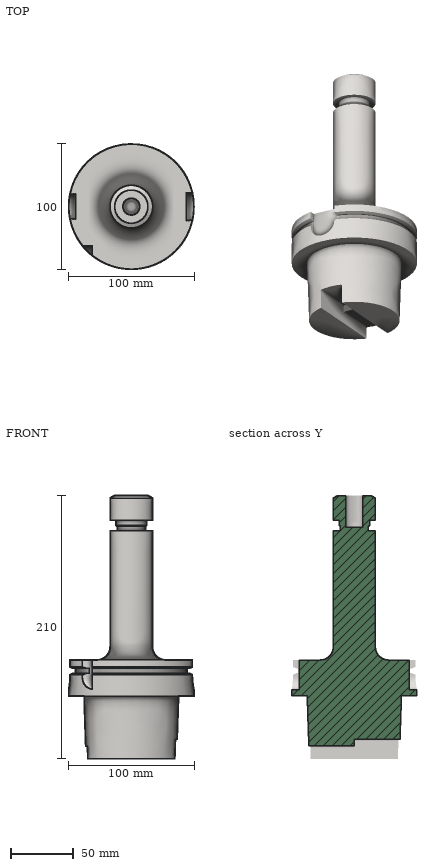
import cadquery as cq

total_height = 210.0

taper_bottom_radius = 36.1
taper_top_radius = 37.8
flange_bottom = 50.0

flange_radius = 50.0
flange_top = 79.0
groove_floor_radius = 45.8
groove_ledge_radius = 47.2
groove_top = 73.3
groove_floor_top = 72.0
groove_floor_bottom = 68.2
groove_bottom = 67.0

shank_radius = 17.0
shank_fillet = 10.0
shank_top = 181.9
lower_neck_radius = 11.3
upper_neck_radius = 12.4
neck_chamfer_top = 186.3
neck_chamfer_bottom = neck_chamfer_top - (upper_neck_radius - lower_neck_radius)
nut_bottom = 190.0
nut_chamfer_height = 2.0
nut_face_radius = 13.2
bore_radius = 6.7
bore_depth = 25.2

slot_bottom = 55.2
left_slot_width = 19.7
left_slot_floor = 44.0
right_slot_width = 22.0
right_slot_floor = 43.9
notch_inset = 31.3

drive_slot_width = 19.7
left_drive_height = 10.0
right_drive_height = 15.5
drive_slot_corner = 1.0


def make_body():
    """Revolve the complete outer profile about Z."""
    profile = (
        cq.Workplane("XZ")
        .lineTo(taper_bottom_radius, 0)
        .lineTo(taper_top_radius, flange_bottom)
        .lineTo(flange_radius, flange_bottom)
        .lineTo(flange_radius, groove_bottom)
        .lineTo(groove_ledge_radius, groove_floor_bottom)
        .lineTo(groove_floor_radius, groove_floor_bottom)
        .lineTo(groove_floor_radius, groove_floor_top)
        .lineTo(groove_ledge_radius, groove_floor_top)
        .lineTo(flange_radius, groove_top)
        .lineTo(flange_radius, flange_top)
        .lineTo(shank_radius + shank_fillet, flange_top)
        .tangentArcPoint((shank_radius, flange_top + shank_fillet), relative=False)
        .lineTo(shank_radius, shank_top)
        .lineTo(lower_neck_radius, shank_top)
        .lineTo(lower_neck_radius, neck_chamfer_bottom)
        .lineTo(upper_neck_radius, neck_chamfer_top)
        .lineTo(upper_neck_radius, nut_bottom)
        .lineTo(shank_radius, nut_bottom)
        .lineTo(shank_radius, total_height - nut_chamfer_height)
        .lineTo(nut_face_radius, total_height)
        .lineTo(0, total_height)
        .close()
    )
    return profile.revolve(360, (0, 0), (0, 1))


def make_bore():
    """Blind bore entering through the nut face."""
    return (
        cq.Workplane("XY", origin=(0, 0, total_height))
        .circle(bore_radius)
        .extrude(-bore_depth)
    )


def make_rim_slot(width, center_y, floor_distance, side):
    """Slot with a full-round bottom, cut inward along X from the rim on the given side."""
    radius = width / 2
    arc_center = slot_bottom + radius
    return (
        cq.Workplane("YZ", origin=(side * floor_distance, 0, 0))
        .moveTo(center_y - radius, flange_top)
        .lineTo(center_y - radius, arc_center)
        .threePointArc((center_y, slot_bottom), (center_y + radius, arc_center))
        .lineTo(center_y + radius, flange_top)
        .close()
        .extrude(side * (flange_radius - floor_distance))
    )


def make_drive_slot(height, side):
    """Slot in the taper end, running from the axis out through one side."""
    return (
        cq.Workplane("XY")
        .box(taper_top_radius, drive_slot_width, height, centered=(False, True, False))
        .edges("|X and >Z")
        .fillet(drive_slot_corner)
        .translate((min(side, 0) * taper_top_radius, 0, 0))
    )


left, right = -1, 1
notch_center_y = -(notch_inset + left_slot_width / 2)

result = (
    make_body()
    .cut(make_bore())
    .cut(make_rim_slot(left_slot_width, 0, left_slot_floor, left))
    .cut(make_rim_slot(right_slot_width, 0, right_slot_floor, right))
    .cut(make_rim_slot(left_slot_width, notch_center_y, notch_inset, left))
    .cut(make_drive_slot(left_drive_height, left))
    .cut(make_drive_slot(right_drive_height, right))
)